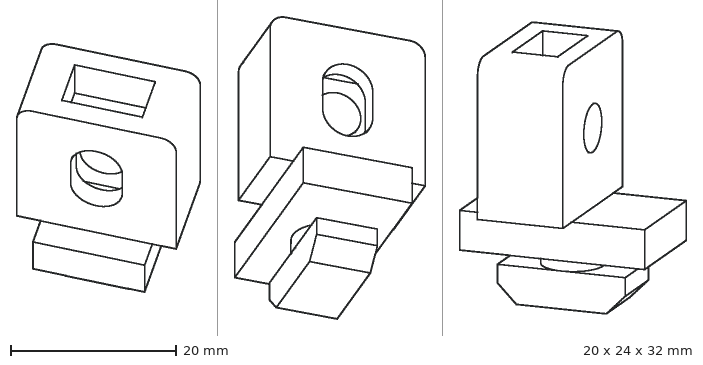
import cadquery as cq

total_height = 32.0

body_width = 20.0
body_height = 20.0
body_front = -8.5
body_depth = 11.07
body_corner_radius = 2.0

plate_width = 14.0
plate_depth = 24.0
plate_height = 5.0

stem_diameter = 7.85
stem_height = 2.2
head_depth = 16.58
head_chamfer = 2.45

pocket_width = 10.1
pocket_front = -5.9
pocket_depth = 5.85
pocket_drop = 5.2
gap_depth = 0.95
gap_drop = 15.33

slot_width = 6.45
slot_height = 10.05
slot_drop = 10.0
hole_diameter = 6.0

body_bottom = total_height - body_height
plate_bottom = body_bottom - plate_height
head_height = plate_bottom - stem_height
opening_level = total_height - slot_drop


def block(width, depth, height, front, bottom):
    """Box centred in X, starting at the given front Y and bottom Z."""
    return cq.Workplane("XY").box(width, depth, height, centered=(True, False, False)).translate(
        (0, front, bottom)
    )


def front_plane(y):
    """Sketch plane facing -Y, centred on the openings."""
    return cq.Workplane("XZ", origin=(0, y, opening_level))


body = block(body_width, body_depth, body_height, body_front, body_bottom)
body = body.edges("|Y and >Z").fillet(body_corner_radius)

plate = block(plate_width, plate_depth, plate_height, -plate_depth / 2, plate_bottom)
stem = cq.Workplane("XY", origin=(0, 0, head_height)).circle(stem_diameter / 2).extrude(stem_height)
head = block(stem_diameter, head_depth, head_height, -head_depth / 2, 0)
head = head.edges("|X and <Z").chamfer(head_chamfer)

pocket = block(pocket_width, pocket_depth, pocket_drop, pocket_front, total_height - pocket_drop)
gap = block(pocket_width, gap_depth, gap_drop, pocket_front, total_height - gap_drop)

slot = front_plane(pocket_front).slot2D(slot_height, slot_width, 90).extrude(pocket_front - body_front)
hole = front_plane(pocket_front).circle(hole_diameter / 2).extrude(-(body_front + body_depth - pocket_front))

result = body.cut(pocket).cut(gap).cut(slot).cut(hole)
result = result.union(plate).union(stem).union(head)